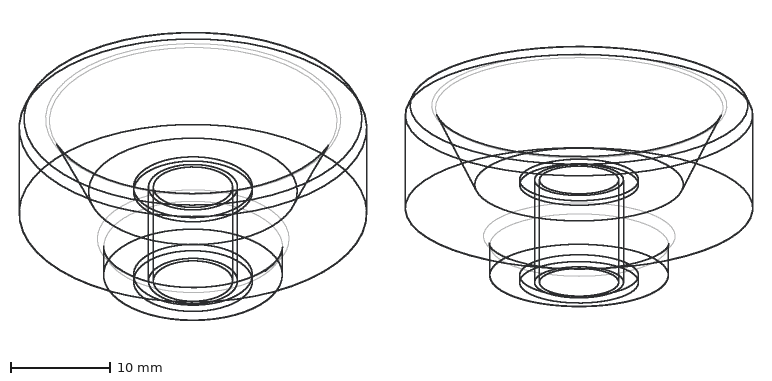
import cadquery as cq

outer_radius = 17.5
total_height = 19.0
rim_bottom_z = 7.95
rim_chamfer_width = 0.5
rim_chamfer_height = 1.05

neck_radius = 9.0
neck_fillet_radius = 1.0
cone_bottom_z = 4.72

floor_radius = 10.5
floor_z = 10.5
mouth_radius = 14.6
mouth_fillet_radius = 0.42

hub_radius = 6.0
hub_step = 0.75
hub_floor_step = 0.5
hub_top_z = floor_z + hub_floor_step

bore_radius = 4.0
sleeve_wall = 0.5
sleeve_radius = bore_radius + sleeve_wall


def revolve_about_z(profile):
    """Revolve a closed profile drawn as (radius, Z)."""
    return profile.close().revolve(360, (0, 0, 0), (0, 1, 0))


def make_wheel():
    profile = (
        cq.Workplane("XZ")
        .moveTo(sleeve_radius, 0)
        .lineTo(hub_radius, 0)
        .lineTo(hub_radius, hub_step)
        .lineTo(neck_radius, hub_step)
        .lineTo(neck_radius, cone_bottom_z)
        .lineTo(outer_radius, rim_bottom_z)
        .lineTo(outer_radius, total_height - rim_chamfer_height)
        .lineTo(outer_radius - rim_chamfer_width, total_height)
        .lineTo(mouth_radius, total_height)
        .lineTo(floor_radius, floor_z)
        .lineTo(hub_radius, floor_z)
        .lineTo(hub_radius, hub_top_z)
        .lineTo(sleeve_radius, hub_top_z)
    )
    wheel = revolve_about_z(profile)
    neck_edges = cq.selectors.RadiusNthSelector(2)
    wheel = wheel.edges(neck_edges).edges(">Z").fillet(neck_fillet_radius)
    mouth_edge = cq.selectors.RadiusNthSelector(0)
    return wheel.faces(">Z").edges(mouth_edge).fillet(mouth_fillet_radius)


def make_sleeve():
    return cq.Workplane("XY").circle(sleeve_radius).circle(bore_radius).extrude(hub_top_z)


wheel = make_wheel()
sleeve = make_sleeve()

result = cq.Compound.makeCompound([wheel.val(), sleeve.val()])